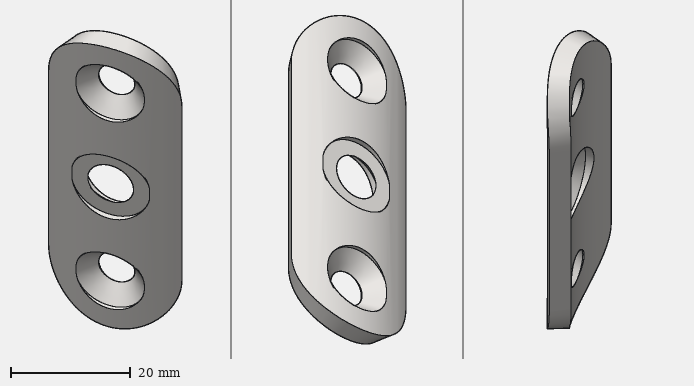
import cadquery as cq

LENGTH = 64.0
WIDTH = 24.0
TUBE_RADIUS = 21.2
THICKNESS = 3.7
OUTER_RADIUS = TUBE_RADIUS + THICKNESS

CENTRE_HOLE_DIAMETER = 8.2
SEAT_DIAMETER = 14.2
SEAT_DEPTH = 1.0
REAR_BORE_DIAMETER = 12.5

SCREW_SPACING = 43.0
SCREW_HOLE_DIAMETER = 6.5
SCREW_HEAD_DIAMETER = 12.5
SCREW_HEAD_DEPTH = 0.7

CREST_Y = -OUTER_RADIUS
CUT_MARGIN = 1.0


def curved_plate():
    """Rounded strip of the outer cylinder, thickened toward the axis so its edges are radial."""
    outline = (
        cq.Workplane("XZ")
        .slot2D(LENGTH, WIDTH, angle=90)
        .extrude(OUTER_RADIUS + CUT_MARGIN)
    )
    cylinder = cq.Workplane("XY").circle(OUTER_RADIUS).extrude(LENGTH / 2 + CUT_MARGIN, both=True)
    outer_face = cylinder.intersect(outline).faces("%CYLINDER and <Y").val()
    return cq.Workplane(outer_face.thicken(-THICKNESS))


def bore(z, diameter, start_depth, end_depth):
    """Round cutter along Y between two depths below the crest of the plate."""
    return (
        cq.Workplane("XZ", origin=(0, CREST_Y + end_depth, z))
        .circle(diameter / 2)
        .extrude(end_depth - start_depth)
    )


def through_hole(z, diameter):
    return bore(z, diameter, -CUT_MARGIN, OUTER_RADIUS)


def cone_cutter(z, front_diameter, rear_diameter, start_depth):
    """90 degree conical cutter along Y between two diameters."""
    return cq.Workplane(
        cq.Solid.makeCone(
            front_diameter / 2,
            rear_diameter / 2,
            abs(front_diameter - rear_diameter) / 2,
            cq.Vector(0, CREST_Y + start_depth, z),
            cq.Vector(0, 1, 0),
        )
    )


def seated_hole():
    seat = bore(0, SEAT_DIAMETER, -CUT_MARGIN, SEAT_DEPTH)
    cone_end = SEAT_DEPTH + (REAR_BORE_DIAMETER - CENTRE_HOLE_DIAMETER) / 2
    cone = cone_cutter(0, CENTRE_HOLE_DIAMETER, REAR_BORE_DIAMETER, SEAT_DEPTH)
    rear_bore = bore(0, REAR_BORE_DIAMETER, cone_end, OUTER_RADIUS)
    return through_hole(0, CENTRE_HOLE_DIAMETER).union(seat).union(cone).union(rear_bore)


def countersunk_hole(z):
    head = bore(z, SCREW_HEAD_DIAMETER, -CUT_MARGIN, SCREW_HEAD_DEPTH)
    cone = cone_cutter(z, SCREW_HEAD_DIAMETER, SCREW_HOLE_DIAMETER, SCREW_HEAD_DEPTH)
    return through_hole(z, SCREW_HOLE_DIAMETER).union(head).union(cone)


result = curved_plate().cut(seated_hole())
for screw_z in (-SCREW_SPACING / 2, SCREW_SPACING / 2):
    result = result.cut(countersunk_hole(screw_z))